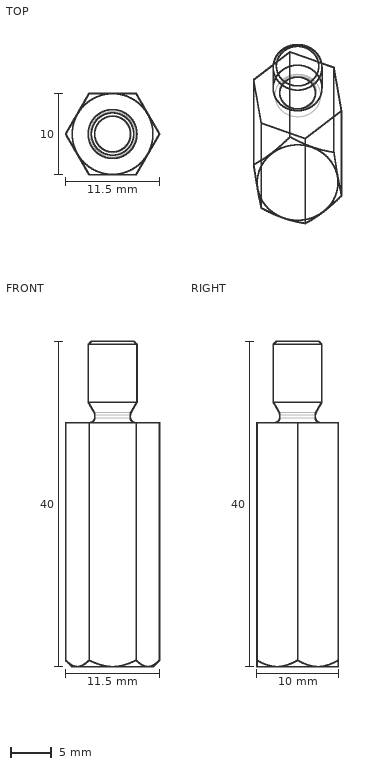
import cadquery as cq
import math

across_flats = 10.0
across_corners = across_flats / math.cos(math.radians(30))
body_height = 30.0
total_height = 40.0

bottom_face_diameter = 9.9
bottom_chamfer_angle = 45.0

stud_diameter = 6.0
stud_tip_chamfer = 0.4
neck_diameter = 4.4
neck_length = 0.35
neck_fillet_radius = 0.6
flare_angle = 30.0


def make_body():
    """Hexagonal bar with its bottom corners turned to a cone."""
    hexagon = cq.Workplane("XY").polygon(6, across_corners).extrude(body_height)
    face_radius = bottom_face_diameter / 2
    corner_radius = across_corners / 2
    cone_height = (corner_radius - face_radius) * math.tan(math.radians(bottom_chamfer_angle))
    envelope = (
        cq.Workplane("XZ")
        .lineTo(face_radius, 0)
        .lineTo(corner_radius, cone_height)
        .lineTo(corner_radius, body_height)
        .lineTo(0, body_height)
        .close()
        .revolve(360, (0, 0, 0), (0, 1, 0))
    )
    return hexagon.intersect(envelope)


def neck_arc_point(center_z, angle):
    """Point (radius, z) on a concave neck fillet, turned by angle degrees from the neck wall."""
    turn = math.radians(angle)
    radius = neck_diameter / 2 + neck_fillet_radius * (1 - math.cos(turn))
    return radius, center_z + neck_fillet_radius * math.sin(turn)


def make_stud():
    """Turned stud: filleted base, neck, blended flare, cylinder and chamfered tip."""
    stud_radius = stud_diameter / 2
    neck_bottom = body_height + neck_fillet_radius
    neck_top = neck_bottom + neck_length
    flare_start = neck_arc_point(neck_top, flare_angle)
    flare_height = (stud_radius - flare_start[0]) / math.tan(math.radians(flare_angle))
    stud_bottom = flare_start[1] + flare_height
    return (
        cq.Workplane("XZ")
        .moveTo(0, body_height)
        .lineTo(*neck_arc_point(neck_bottom, -90))
        .threePointArc(neck_arc_point(neck_bottom, -45), neck_arc_point(neck_bottom, 0))
        .lineTo(*neck_arc_point(neck_top, 0))
        .threePointArc(neck_arc_point(neck_top, flare_angle / 2), flare_start)
        .lineTo(stud_radius, stud_bottom)
        .lineTo(stud_radius, total_height - stud_tip_chamfer)
        .lineTo(stud_radius - stud_tip_chamfer, total_height)
        .lineTo(0, total_height)
        .close()
        .revolve(360, (0, 0, 0), (0, 1, 0))
    )


result = make_body().union(make_stud())